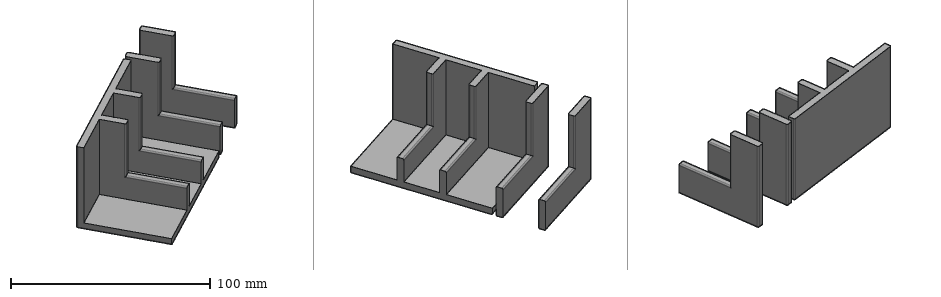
import cadquery as cq

TOTAL_LENGTH = 110.0
LEG = 50.0
HOUSING_LENGTH = 80.0
WALL = 4.0
WEB_WIDTH = 18.0
PITCH = 24.0
EDGE_RADIUS = 0.8

PLATE_COUNT = 2
FIRST_RIB_Y = (HOUSING_LENGTH - PITCH - WALL) / 2
RIB_STARTS = [FIRST_RIB_Y, FIRST_RIB_Y + PITCH]
LAST_PLATE_Y = TOTAL_LENGTH - WALL


def angle_prism(arm_width, start_y, length):
    """L-shaped prism along Y, with its outer corner on the Y axis."""
    outline = [
        (0, 0),
        (LEG, 0),
        (LEG, arm_width),
        (arm_width, arm_width),
        (arm_width, LEG),
        (0, LEG),
    ]
    return cq.Workplane("XZ", origin=(0, start_y, 0)).polyline(outline).close().extrude(-length)


def inner_rim(start_y):
    """Box enclosing the inner arm edges of a rib or plate."""
    margin = WALL / 2
    low = WEB_WIDTH - margin
    return cq.selectors.BoxSelector(
        (low, start_y - margin, low),
        (LEG, start_y + WALL + margin, LEG),
    )


def rounded_web(start_y):
    """L-shaped web of wall thickness, rounded along both inner arm sides."""
    web = angle_prism(WEB_WIDTH, start_y, WALL)
    return web.edges(inner_rim(start_y)).edges("|X or |Z").fillet(EDGE_RADIUS)


def round_outer_edges(body):
    """Round the edges along the outer faces of the L, leaving the arm ends square."""
    return body.edges("<X or <Z").edges("not(>X or >Z)").fillet(EDGE_RADIUS)


def make_plate(start_y):
    """Loose L plate rounded along its outer and inner sides, square at the arm ends."""
    return round_outer_edges(rounded_web(start_y))


def make_housing():
    """Angle housing with two L ribs, all in one piece."""
    housing = round_outer_edges(angle_prism(WALL, 0, HOUSING_LENGTH))
    inside = cq.Workplane("XY").box(LEG, HOUSING_LENGTH, LEG, centered=False)
    inside = inside.translate((WALL / 2, 0, WALL / 2))
    for start_y in RIB_STARTS:
        rib = rounded_web(start_y)
        housing = housing.union(rib.intersect(inside))
    return housing


housing = make_housing()
plates = [make_plate(LAST_PLATE_Y - index * PITCH) for index in range(PLATE_COUNT)]

result = cq.Compound.makeCompound([housing.val(), *[plate.val() for plate in plates]])